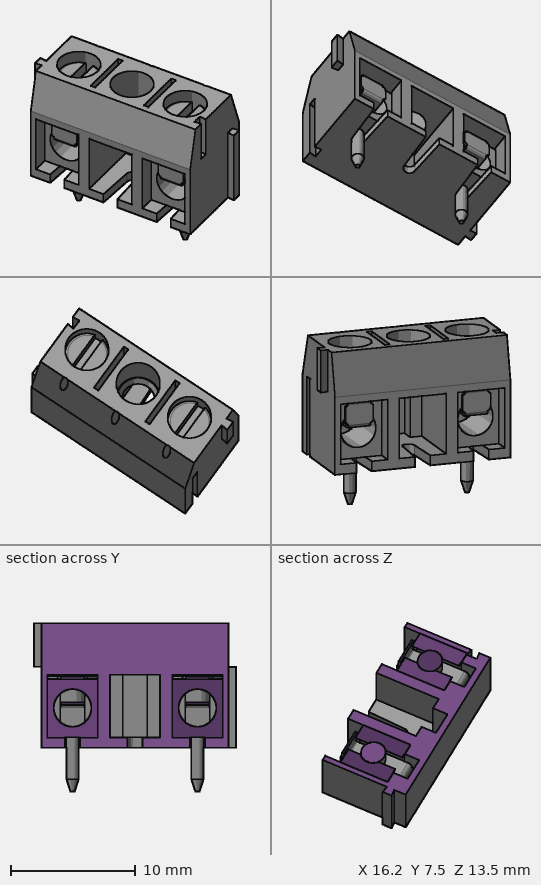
import cadquery as cq
import math


overall_length = 16.2
tongue_length = 0.6
housing_length = overall_length - 2 * tongue_length
half_length = housing_length / 2
housing_height = 10.0
shoulder_height = 6.5
front_y = -3.3
back_y = 4.2
front_slope_run = 0.8
back_slope_run = 1.25

pitch = 5.0
position_xs = [-pitch, 0, pitch]
pole_xs = [-pitch, pitch]

tongue_width = 0.85
tongue_root_width = 0.68
upper_tongue_y = -1.26
lower_tongue_y = 2.82

floor_z = 0.85
cavity_width = 4.0
cavity_height = 5.0
ceiling_z = floor_z + cavity_height
cavity_back_y = 2.3
channel_width = 2.0
channel_back_y = 3.6
screw_hole_diameter = 3.5
seat_diameter = 2.62
seat_rim_diameter = 3.4
seat_height = (seat_rim_diameter - seat_diameter) / 2
seat_top_z = ceiling_z + seat_height
pin_diameter = 1.0
pin_slot_mouth = 1.31
test_hole_diameter = 0.6
test_hole_y = 3.2
marker_slot_width = 0.42
marker_slot_front_y = -1.91
marker_slot_back_y = 2.3
marker_slot_depth = 3.5

clamp_front_y = -1.95
bore_diameter = 3.0
bore_z = 3.2
thread_diameter = 2.0
pin_length = 3.5
pin_tip_length = 1.0
pin_tip_diameter = 0.35

sheet = 0.21
bend_inner = 0.08
bend_outer = bend_inner + sheet
leg_bend_inner = 0.2
leg_bend_outer = leg_bend_inner + sheet
guard_top_z = 5.73
clamp_top_z = guard_top_z - sheet
guard_front_y = clamp_front_y - bend_outer
guard_back_y = guard_front_y + sheet
strip_bottom_z = 3.43
strip_top_z = strip_bottom_z + sheet
leg_back_y = 3.03
leg_front_y = leg_back_y - sheet
tab_width = 2.37
strip_width = 1.9
tab_chamfer = (tab_width - strip_width) / 2

shank_diameter = 2.5
screw_top_z = 9.0
screw_fillet = 0.2
driver_slot_width = 0.75
driver_slot_depth = 1.0


def box(x_range, y_range, z_range):
    """Axis-aligned block between the given limits."""
    (x0, x1), (y0, y1), (z0, z1) = x_range, y_range, z_range
    return cq.Workplane("XY").box(x1 - x0, y1 - y0, z1 - z0, centered=False).translate((x0, y0, z0))


def centred_box(width, y_range, z_range):
    """Axis-aligned block that is symmetric about X = 0."""
    return box((-width / 2, width / 2), y_range, z_range)


def cylinder(diameter, z0, z1):
    """Upright cylinder on the Z axis."""
    return cq.Workplane("XY").workplane(offset=z0).circle(diameter / 2).extrude(z1 - z0)


def cone(bottom_diameter, top_diameter, z0, z1):
    """Upright truncated cone on the Z axis."""
    frustum = cq.Solid.makeCone(bottom_diameter / 2, top_diameter / 2, z1 - z0)
    return cq.Workplane(frustum).translate((0, 0, z0))


def dovetail(root_x, y, z0, z1):
    """Dovetail bar that widens towards +X from its root."""
    root = tongue_root_width / 2
    tip = tongue_width / 2
    tip_x = root_x + tongue_length
    outline = [(root_x, y - root), (tip_x, y - tip), (tip_x, y + tip), (root_x, y + root)]
    return cq.Workplane("XY").workplane(offset=z0).polyline(outline).close().extrude(z1 - z0)


def housing_shell():
    """Solid housing with its two sloping shoulders."""
    profile = [
        (front_y, 0),
        (back_y, 0),
        (back_y, shoulder_height),
        (back_y - back_slope_run, housing_height),
        (front_y + front_slope_run, housing_height),
        (front_y, shoulder_height),
    ]
    return cq.Workplane("YZ").polyline(profile).close().extrude(half_length, both=True)


def screw_seat():
    """Screw hole with a conical seat at its bottom."""
    seat = cone(seat_diameter, seat_rim_diameter, ceiling_z, seat_top_z)
    return cylinder(screw_hole_diameter, seat_top_z, housing_height).union(seat)


def pin_slot():
    """Slot in the floor: round around the pin, widening towards the front."""
    seat = pin_diameter / 2
    mouth = pin_slot_mouth / 2
    return (
        cq.Workplane("XY")
        .moveTo(-mouth, front_y)
        .lineTo(-seat, 0)
        .threePointArc((0, seat), (seat, 0))
        .lineTo(mouth, front_y)
        .close()
        .extrude(floor_z)
    )


def position_cutter():
    """Everything that is removed from the housing at one position."""
    cavity = centred_box(cavity_width, (front_y, cavity_back_y), (floor_z, ceiling_z))
    channel = centred_box(channel_width, (cavity_back_y, channel_back_y), (floor_z, ceiling_z))
    test_hole = cylinder(test_hole_diameter, ceiling_z, housing_height).translate((0, test_hole_y, 0))
    return cavity.union(channel).union(screw_seat()).union(pin_slot()).union(test_hole)


def make_housing():
    body = housing_shell()
    for x in position_xs:
        body = body.cut(position_cutter().translate((x, 0, 0)))

    marker_slot = centred_box(
        marker_slot_width,
        (marker_slot_front_y, marker_slot_back_y),
        (housing_height - marker_slot_depth, housing_height),
    )
    for x in (-pitch / 2, pitch / 2):
        body = body.cut(marker_slot.translate((x, 0, 0)))

    upper_groove = dovetail(-half_length, upper_tongue_y, shoulder_height, housing_height).mirror("YZ")
    upper_tongue = upper_groove.translate((-housing_length, 0, 0))
    body = body.cut(upper_groove).union(upper_tongue)

    lower_tongue = dovetail(half_length, lower_tongue_y, 0, shoulder_height)
    lower_groove = lower_tongue.translate((-housing_length, 0, 0))
    return body.cut(lower_groove).union(lower_tongue)


def make_clamp():
    """Metal block with the wire bore, the screw hole and the solder pin."""
    block = centred_box(cavity_width, (clamp_front_y, cavity_back_y), (floor_z, clamp_top_z))
    bore = (
        cq.Workplane("XZ", origin=(0, clamp_front_y, bore_z))
        .circle(bore_diameter / 2)
        .extrude(clamp_front_y - cavity_back_y)
    )
    screw_hole = cylinder(thread_diameter, bore_z, clamp_top_z)
    tip_top_z = pin_tip_length - pin_length
    pin = cylinder(pin_diameter, tip_top_z, floor_z)
    tip = cone(pin_tip_diameter, pin_diameter, -pin_length, tip_top_z)
    return block.cut(bore).cut(screw_hole).union(pin).union(tip)


def arc_middle(centre, radius, y_side, z_side):
    """Middle (Y, Z) point of the quarter bend on the given sides of its centre."""
    offset = radius * math.sqrt(0.5)
    return centre[0] + y_side * offset, centre[1] + z_side * offset


def make_wire_guard():
    """Bent sheet: ring under the screw head, tab over the bore, strip through it and rear leg."""
    top_bend_z = guard_top_z - bend_outer
    low_bend_z = strip_bottom_z + bend_outer
    leg_bend_y = leg_front_y - leg_bend_inner
    leg_bend_z = strip_bottom_z - leg_bend_inner
    top_bend = (clamp_front_y, top_bend_z)
    low_bend = (clamp_front_y, low_bend_z)
    leg_bend = (leg_bend_y, leg_bend_z)
    strip = (
        cq.Workplane("YZ")
        .moveTo(0, guard_top_z)
        .lineTo(clamp_front_y, guard_top_z)
        .threePointArc(arc_middle(top_bend, bend_outer, -1, 1), (guard_front_y, top_bend_z))
        .lineTo(guard_front_y, low_bend_z)
        .threePointArc(arc_middle(low_bend, bend_outer, -1, -1), (clamp_front_y, strip_bottom_z))
        .lineTo(leg_bend_y, strip_bottom_z)
        .threePointArc(arc_middle(leg_bend, leg_bend_inner, 1, 1), (leg_front_y, leg_bend_z))
        .lineTo(leg_front_y, floor_z)
        .lineTo(leg_back_y, floor_z)
        .lineTo(leg_back_y, leg_bend_z)
        .threePointArc(arc_middle(leg_bend, leg_bend_outer, 1, 1), (leg_bend_y, strip_top_z))
        .lineTo(clamp_front_y, strip_top_z)
        .threePointArc(arc_middle(low_bend, bend_inner, -1, -1), (guard_back_y, low_bend_z))
        .lineTo(guard_back_y, top_bend_z)
        .threePointArc(arc_middle(top_bend, bend_inner, -1, 1), (clamp_front_y, clamp_top_z))
        .lineTo(0, clamp_top_z)
        .close()
        .extrude(strip_width / 2, both=True)
    )

    tab = centred_box(tab_width, (guard_front_y, guard_back_y), (low_bend_z, top_bend_z))
    tab = tab.edges("|Y").chamfer(tab_chamfer)
    top_plate = centred_box(tab_width, (clamp_front_y, 0), (clamp_top_z, guard_top_z))
    top_plate = top_plate.edges("|Z and <Y").chamfer(tab_chamfer)
    leg = centred_box(channel_width, (leg_front_y, leg_back_y), (floor_z, leg_bend_z))

    ring = cylinder(cavity_width, clamp_top_z, guard_top_z)
    shank_hole = cylinder(shank_diameter, clamp_top_z, guard_top_z)
    return strip.union(tab).union(top_plate).union(leg).union(ring).cut(shank_hole)


def make_screw():
    """Slotted screw whose conical head sits in the housing and whose thread presses on the strip."""
    head = cylinder(screw_hole_diameter, seat_top_z, screw_top_z).faces(">Z").edges().fillet(screw_fillet)
    taper = cone(seat_diameter, seat_rim_diameter, ceiling_z, seat_top_z)
    shank = cylinder(shank_diameter, clamp_top_z, ceiling_z)
    thread = cylinder(thread_diameter, strip_top_z, clamp_top_z)
    driver_slot = centred_box(
        driver_slot_width,
        (-screw_hole_diameter, screw_hole_diameter),
        (screw_top_z - driver_slot_depth, screw_top_z),
    )
    return head.union(taper).union(shank).union(thread).cut(driver_slot)


housing = make_housing()
clamps = [make_clamp().translate((x, 0, 0)) for x in pole_xs]
wire_guards = [make_wire_guard().translate((x, 0, 0)) for x in pole_xs]
screws = [make_screw().translate((x, 0, 0)) for x in pole_xs]

bodies = [housing, *clamps, *wire_guards, *screws]
result = cq.Compound.makeCompound([solid for body in bodies for solid in body.solids().vals()])